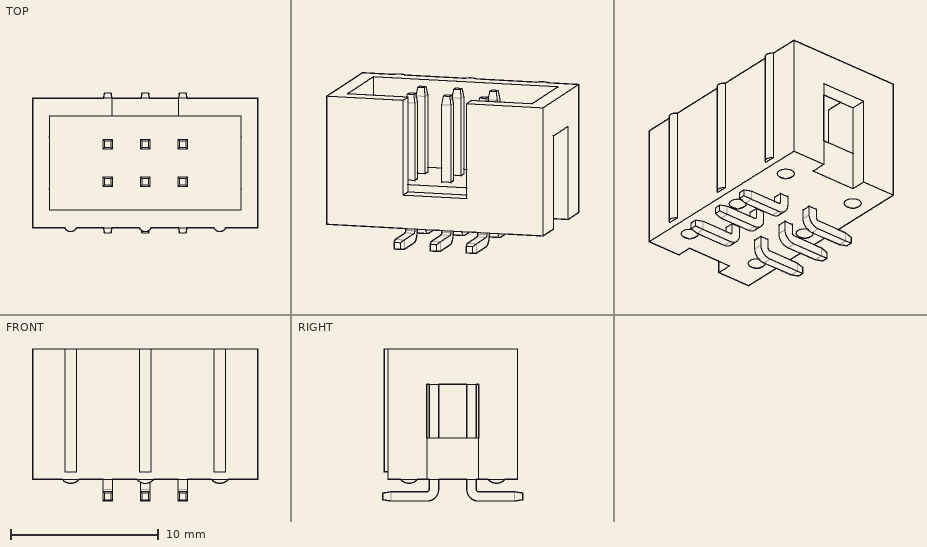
import cadquery as cq
import math

HOUSING_LENGTH = 15.24
HOUSING_WIDTH = 8.8
HOUSING_HEIGHT = 8.84
END_WALL = 1.12
SIDE_WALL = 1.23
FLOOR_THICKNESS = 2.8

WINDOW_WIDTH = 3.52
WINDOW_LINTEL = 2.41
WINDOW_TOP = HOUSING_HEIGHT - WINDOW_LINTEL

KEY_SLOT_WIDTH = 4.47
KEY_SLOT_DROP = 0.5

SUPPORT_SPACING = 5.05
SUPPORT_X = [-SUPPORT_SPACING, 0, SUPPORT_SPACING]

RIB_CHORD = 0.8
RIB_PROJECTION = 0.25
RIB_BOTTOM = 0.51

FOOT_Y = 2.96
FOOT_BASE_RADIUS = 0.58
FOOT_HEIGHT = 0.275

PITCH = 2.54
PINS_PER_ROW = 3
PIN_SIZE = 0.65
PIN_TOP = 8.7
OVERALL_HEIGHT = 10.32
PIN_BOTTOM = HOUSING_HEIGHT - OVERALL_HEIGHT
TAIL_SPAN = 9.5
TAIL_END = TAIL_SPAN / 2
TIP_LENGTH = 0.58
TIP_SIZE = 0.46
BEND_INNER_RADIUS = 0.15
BEND_OUTER_RADIUS = BEND_INNER_RADIUS + PIN_SIZE

PIN_X = [(i - (PINS_PER_ROW - 1) / 2) * PITCH for i in range(PINS_PER_ROW)]
ROW_Y = PITCH / 2


def box(length, width, bottom, top, x=0, y=0):
    """Upright box centred on (x, y) between two heights."""
    block = cq.Workplane("XY").box(length, width, top - bottom, centered=(True, True, False))
    return block.translate((x, y, bottom))


def make_rib(x):
    """Round-faced vertical rib whose flat back lies on the -Y wall."""
    wall_y = -HOUSING_WIDTH / 2
    return (
        cq.Workplane("XY", origin=(x, wall_y, RIB_BOTTOM))
        .moveTo(-RIB_CHORD / 2, 0)
        .threePointArc((0, -RIB_PROJECTION), (RIB_CHORD / 2, 0))
        .close()
        .extrude(HOUSING_HEIGHT - RIB_BOTTOM)
    )


def make_foot(x, y):
    """Spherical cap below the housing, turned about its own vertical axis."""
    sphere_radius = (FOOT_BASE_RADIUS**2 + FOOT_HEIGHT**2) / (2 * FOOT_HEIGHT)
    half_angle = math.asin(FOOT_BASE_RADIUS / sphere_radius) / 2
    centre_height = sphere_radius - FOOT_HEIGHT
    arc_middle = (sphere_radius * math.sin(half_angle), centre_height - sphere_radius * math.cos(half_angle))
    return (
        cq.Workplane("XZ")
        .moveTo(0, 0)
        .lineTo(FOOT_BASE_RADIUS, 0)
        .threePointArc(arc_middle, (0, -FOOT_HEIGHT))
        .close()
        .revolve(360, (0, 0), (0, 1))
        .translate((x, y, 0))
    )


def make_housing():
    """Open-topped shroud with end windows, a polarising slot, ribs and feet."""
    cavity_length = HOUSING_LENGTH - 2 * END_WALL
    cavity_width = HOUSING_WIDTH - 2 * SIDE_WALL
    body = box(HOUSING_LENGTH, HOUSING_WIDTH, 0, HOUSING_HEIGHT)
    body = body.cut(box(cavity_length, cavity_width, FLOOR_THICKNESS, HOUSING_HEIGHT))

    for side in (-1, 1):
        wall_x = side * (HOUSING_LENGTH - END_WALL) / 2
        body = body.cut(box(END_WALL, WINDOW_WIDTH, 0, WINDOW_TOP, x=wall_x))

    key_slot_bottom = FLOOR_THICKNESS - KEY_SLOT_DROP
    key_wall_y = (HOUSING_WIDTH - SIDE_WALL) / 2
    body = body.cut(box(KEY_SLOT_WIDTH, SIDE_WALL, key_slot_bottom, HOUSING_HEIGHT, y=key_wall_y))

    for x in SUPPORT_X:
        body = body.union(make_rib(x))
        for y in (-FOOT_Y, FOOT_Y):
            body = body.union(make_foot(x, y))
    return body


def make_tip(plane):
    """Tapered square end growing out of the given plane."""
    return (
        cq.Workplane(plane)
        .rect(PIN_SIZE, PIN_SIZE)
        .workplane(offset=TIP_LENGTH)
        .rect(TIP_SIZE, TIP_SIZE)
        .loft(ruled=True)
    )


def make_pin(x, side):
    """L-shaped pin: upright post, rounded bend and a tail running outward along side * Y."""
    inner_y = ROW_Y - PIN_SIZE / 2
    outer_y = ROW_Y + PIN_SIZE / 2
    post_top = PIN_TOP - TIP_LENGTH
    tail_end = TAIL_END - TIP_LENGTH
    tail_top = PIN_BOTTOM + PIN_SIZE
    bend_y = outer_y + BEND_INNER_RADIUS
    bend_z = tail_top + BEND_INNER_RADIUS

    bar = (
        cq.Workplane("YZ")
        .moveTo(inner_y, post_top)
        .lineTo(inner_y, bend_z)
        .radiusArc((bend_y, PIN_BOTTOM), -BEND_OUTER_RADIUS)
        .lineTo(tail_end, PIN_BOTTOM)
        .lineTo(tail_end, tail_top)
        .lineTo(bend_y, tail_top)
        .radiusArc((outer_y, bend_z), BEND_INNER_RADIUS)
        .lineTo(outer_y, post_top)
        .close()
        .extrude(PIN_SIZE / 2, both=True)
    )
    post_tip = make_tip(cq.Plane((0, ROW_Y, post_top), (1, 0, 0), (0, 0, 1)))
    tail_tip = make_tip(cq.Plane((0, tail_end, PIN_BOTTOM + PIN_SIZE / 2), (1, 0, 0), (0, 1, 0)))
    pin = bar.union(post_tip).union(tail_tip)
    if side < 0:
        pin = pin.mirror("XZ")
    return pin.translate((x, 0, 0))


housing = make_housing()
pins = []
for pin_x in PIN_X:
    for row_side in (-1, 1):
        pins.append(make_pin(pin_x, row_side))
        housing = housing.cut(box(PIN_SIZE, PIN_SIZE, 0, FLOOR_THICKNESS, x=pin_x, y=row_side * ROW_Y))

result = cq.Compound.makeCompound([housing.val()] + [pin.val() for pin in pins])